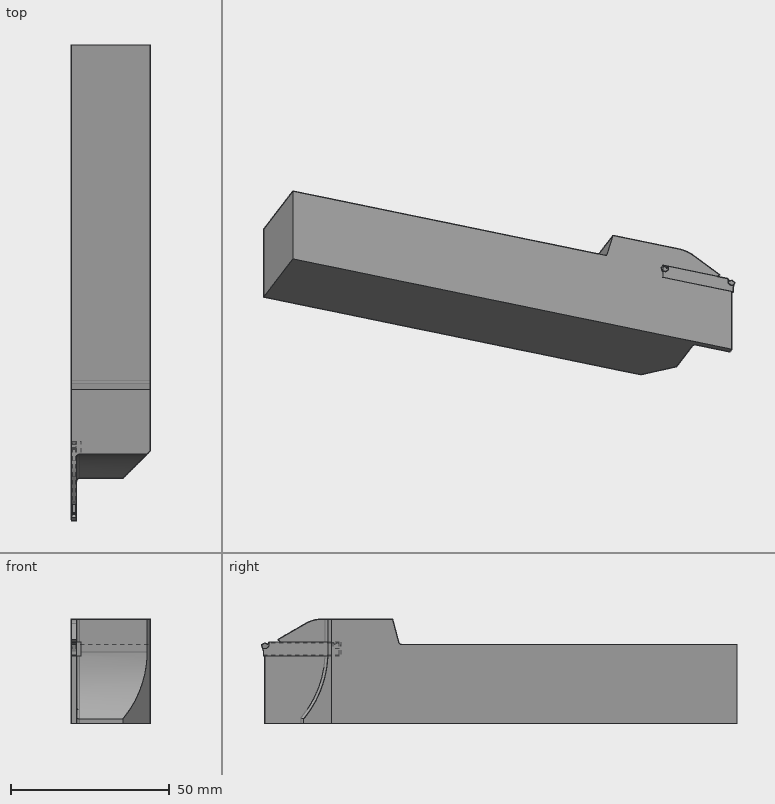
import cadquery as cq
import math

shank_size = 25.0
overall_length = 150.0
overall_height = 33.0
blade_front_y = 1.0
head_back_y = 41.4
head_back_angle = 15.0
head_back_fillet = 0.8
nose_start_y = 19.0
nose_radius = 10.0
nose_angle = 30.0
nose_end_z = 26.5

blade_thickness = 1.8
relief_wall_y = 21.0
relief_toe_y = 13.4
relief_toe_z = 1.5
relief_arc_z = 22.7
relief_fillet = 0.9
corner_bevel = 22.0

insert_length = 25.0
insert_bottom_z = 21.3
insert_top_z = 25.8
seat_depth = 3.2
foot_inset = 0.6
flank_bottom_z = 23.0
cutting_edge_z = 24.9
chip_ridge = (1.0, 25.5)
chip_floor = (2.0, 25.0)
chip_end = (2.4, insert_top_z)
cheek_depth = 0.3
cheek_length = chip_end[0]
cheek_bottom_z = 23.7
cheek_corner = 0.8
end_clearance = 0.2
groove_width = 0.9
groove_depth = 0.3


def yz_plane(x=0.0):
    return cq.Workplane("YZ", origin=(x, 0, 0))


def block(x_range, y_range, z_range):
    """Make a box from its limits along each axis."""
    lows, highs = zip(x_range, y_range, z_range)
    sizes = [high - low for low, high in zip(lows, highs)]
    return cq.Workplane("XY").box(*sizes, centered=False).translate(lows)


def shank_and_head():
    """Full-width body: shank, raised head and falling nose."""
    slope_run = (overall_height - shank_size) * math.tan(math.radians(head_back_angle))
    turn = math.radians(nose_angle)

    def nose_point(angle):
        return (
            nose_start_y - nose_radius * math.sin(angle),
            overall_height - nose_radius * (1 - math.cos(angle)),
        )

    nose_arc_end = nose_point(turn)
    nose_end_y = nose_arc_end[0] - (nose_arc_end[1] - nose_end_z) / math.tan(turn)
    body = (
        yz_plane()
        .moveTo(blade_front_y, 0)
        .lineTo(overall_length, 0)
        .lineTo(overall_length, shank_size)
        .lineTo(head_back_y + slope_run, shank_size)
        .lineTo(head_back_y, overall_height)
        .lineTo(nose_start_y, overall_height)
        .threePointArc(nose_point(turn / 2), nose_arc_end)
        .lineTo(nose_end_y, nose_end_z)
        .lineTo(nose_end_y + nose_end_z - insert_top_z, insert_top_z)
        .lineTo(blade_front_y, insert_top_z)
        .close()
        .extrude(shank_size)
    )
    inner_corner = cq.selectors.NearestToPointSelector(
        (shank_size / 2, head_back_y + slope_run, shank_size)
    )
    return body.edges(inner_corner).fillet(head_back_fillet)


def relief_cutter():
    """Space in front of the head, with a rounded edge where it meets the blade."""
    drop = relief_arc_z - relief_toe_z
    reach = relief_wall_y - relief_toe_y
    arc_radius = (drop**2 + reach**2) / (2 * reach)
    half_angle = math.asin(drop / arc_radius) / 2
    arc_middle = (
        relief_wall_y - arc_radius * (1 - math.cos(half_angle)),
        relief_arc_z - arc_radius * math.sin(half_angle),
    )
    cutter = (
        yz_plane(blade_thickness)
        .lineTo(relief_toe_y, 0)
        .lineTo(relief_toe_y, relief_toe_z)
        .threePointArc(arc_middle, (relief_wall_y, relief_arc_z))
        .lineTo(relief_wall_y, overall_height)
        .lineTo(0, overall_height)
        .close()
        .extrude(shank_size)
    )
    head_wall_edges = cq.selectors.BoxSelector(
        (0, relief_toe_y - relief_fillet, 0),
        (blade_thickness + relief_fillet, relief_wall_y + relief_fillet, overall_height - relief_fillet),
    )
    return cutter.edges(head_wall_edges).fillet(relief_fillet)


def corner_cutter():
    """45 degree bevel on the far front corner of the head."""
    return (
        cq.Workplane("XY")
        .moveTo(shank_size, 0)
        .lineTo(shank_size, corner_bevel)
        .lineTo(shank_size - corner_bevel, 0)
        .close()
        .extrude(overall_height)
    )


def cheek_cutter():
    """Side relief of a cutting end: full width at the top, undercut towards its lower edge."""
    taper = (
        cq.Workplane("XZ")
        .moveTo(0, cheek_bottom_z)
        .lineTo(cheek_depth, cheek_bottom_z)
        .lineTo(0, insert_top_z)
        .close()
        .extrude(-cheek_length)
    )
    outline = (
        yz_plane()
        .moveTo(0, cheek_bottom_z)
        .lineTo(cheek_length - cheek_corner, cheek_bottom_z)
        .lineTo(cheek_length, cheek_bottom_z + cheek_corner)
        .lineTo(cheek_length, insert_top_z)
        .lineTo(0, insert_top_z)
        .close()
        .extrude(cheek_depth)
    )
    return taper.intersect(outline)


def make_insert():
    """Double-ended cutting insert, the same at both ends."""
    half_length = insert_length / 2
    front_end = (
        yz_plane()
        .moveTo(half_length, insert_bottom_z)
        .lineTo(foot_inset, insert_bottom_z)
        .lineTo(foot_inset, flank_bottom_z)
        .lineTo(0, cutting_edge_z)
        .lineTo(*chip_ridge)
        .lineTo(*chip_floor)
        .lineTo(*chip_end)
        .lineTo(half_length, insert_top_z)
        .close()
        .extrude(blade_thickness)
    )
    near_cheek = cheek_cutter()
    far_cheek = near_cheek.mirror("YZ", (blade_thickness / 2, 0, 0))
    front_end = front_end.cut(near_cheek).cut(far_cheek)
    groove_start = (blade_thickness - groove_width) / 2
    for z in (insert_bottom_z, insert_top_z - groove_depth):
        groove = block(
            (groove_start, groove_start + groove_width),
            (0, half_length),
            (z, z + groove_depth),
        )
        front_end = front_end.cut(groove)
    return front_end.union(front_end.mirror("XZ", (0, half_length, 0)))


def seat_clearance():
    """Room beside the insert, and around the recessed cheeks and chip floor of both ends."""
    seat_height = (insert_bottom_z, insert_top_z)
    front_clearance = block((0, seat_depth), (0, chip_end[0] + end_clearance), seat_height)
    rear_clearance = block(
        (0, seat_depth),
        (insert_length - chip_end[0] - end_clearance, insert_length - foot_inset),
        seat_height,
    )
    side_clearance = block((blade_thickness, seat_depth), (0, insert_length), seat_height)
    return side_clearance.union(front_clearance).union(rear_clearance)


def make_holder(insert):
    """Tool holder with a seat that fits the insert."""
    return (
        shank_and_head()
        .cut(relief_cutter())
        .cut(corner_cutter())
        .cut(seat_clearance())
        .cut(insert)
    )


insert = make_insert()
holder = make_holder(insert)
result = cq.Compound.makeCompound([holder.solids().val(), insert.solids().val()])